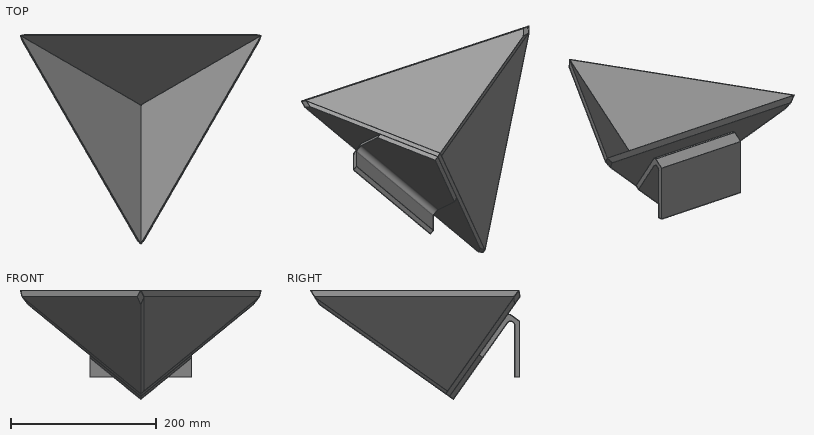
import cadquery as cq
import math

mouth_side = 330.2
plate_thickness = 6.3
leg = mouth_side / math.sqrt(2)
bevel_setback = plate_thickness * math.sqrt(2)
tip_slope = 1.7
tip_cut_size = 66.0

bracket_thickness = 6.5
bracket_width = 139.7
wall_leg_back = 96.0
wall_leg_bottom = 15.5
wall_leg_top = 92.5
bend_crest_y = 83.2
bend_crest_z = 101.7
bend_radius = 5.5

right_edge = cq.Vector(1 / math.sqrt(2), 1 / math.sqrt(6), 1 / math.sqrt(3))
left_edge = cq.Vector(-1 / math.sqrt(2), 1 / math.sqrt(6), 1 / math.sqrt(3))
front_edge = cq.Vector(0, -math.sqrt(2 / 3), 1 / math.sqrt(3))


def plate_outline(reach, first_lap, second_lap):
    """Triangle with the given leg length, widened past its two legs by the laps."""
    points = [(-first_lap, -second_lap)]
    if second_lap > 0:
        points.append((reach, -second_lap))
    points += [(reach, 0), (0, reach)]
    if first_lap > 0:
        points.append((-first_lap, reach))
    return points


def tip_cutter(edge, first_side, second_side):
    """Block beyond the slanted facet at the mouth end of one inner edge."""
    facet_normal = edge - (first_side + second_side) * tip_slope
    facet = cq.Plane(origin=(edge * leg).toTuple(), xDir=first_side - second_side, normal=facet_normal)
    return cq.Workplane(facet).rect(tip_cut_size, tip_cut_size).extrude(tip_cut_size)


def make_plate(first_edge, normal, first_lap, second_lap):
    """Plate with its inner face through the origin and a bevelled rim and facetted tips.

    The second leg runs along normal x first_edge. Each lap covers the end of a neighbouring plate.
    """
    inner_face = cq.Plane(origin=(0, 0, 0), xDir=first_edge, normal=normal)
    plate = (
        cq.Workplane(inner_face)
        .polyline(plate_outline(leg, first_lap, second_lap)).close()
        .workplane(offset=-plate_thickness)
        .polyline(plate_outline(leg - bevel_setback, first_lap, second_lap)).close()
        .loft(ruled=True, combine=True)
    )
    plate = plate.cut(tip_cutter(right_edge, left_edge, front_edge))
    plate = plate.cut(tip_cutter(left_edge, front_edge, right_edge))
    return plate.cut(tip_cutter(front_edge, right_edge, left_edge))


def slope_point(along, outward):
    """(Y, Z) at a distance up the rear plate and a distance behind its inner face."""
    return (
        along / math.sqrt(3) + outward * math.sqrt(2 / 3),
        along * math.sqrt(2 / 3) - outward / math.sqrt(3),
    )


def slope_y_at_z(z, outward):
    """Y of a plane parallel to the rear plate at height z."""
    return z / math.sqrt(2) + outward * math.sqrt(3 / 2)


def slope_z_at_y(y, outward):
    """Z of a plane parallel to the rear plate at depth y."""
    return (y - outward * math.sqrt(3 / 2)) * math.sqrt(2)


def make_bracket():
    """Bent strip on the back of the rear plate, with its foot trimmed to the plate corner."""
    corner_along = -plate_thickness * math.sqrt(2)
    contact = plate_thickness
    back = plate_thickness + bracket_thickness
    wall_leg_front = wall_leg_back - bracket_thickness
    inner_bend = (wall_leg_front, slope_z_at_y(wall_leg_front, back))
    profile = [
        slope_point(corner_along, contact),
        (slope_y_at_z(bend_crest_z, contact), bend_crest_z),
        (bend_crest_y, bend_crest_z),
        (wall_leg_back, wall_leg_top),
        (wall_leg_back, wall_leg_bottom),
        (wall_leg_front, wall_leg_bottom),
        inner_bend,
        slope_point(corner_along, back),
    ]
    strip = cq.Workplane("YZ").polyline(profile).close().extrude(bracket_width / 2, both=True)
    strip = strip.edges(cq.NearestToPointSelector((0, *inner_bend))).fillet(bend_radius)

    corner_plane = cq.Plane(origin=(0, 0, 0), xDir=right_edge, normal=front_edge)
    corner_space = (
        cq.Workplane(corner_plane)
        .moveTo(-plate_thickness, -plate_thickness)
        .rect(mouth_side, mouth_side, centered=False)
        .extrude(mouth_side, both=True)
    )
    return strip.intersect(corner_space)


rear_plate = make_plate(right_edge, front_edge, plate_thickness, plate_thickness)
left_plate = make_plate(left_edge, right_edge, plate_thickness, 0)
right_plate = make_plate(front_edge, left_edge, 0, 0)
bracket = make_bracket()

result = cq.Compound.makeCompound([
    rear_plate.val(),
    left_plate.val(),
    right_plate.val(),
    bracket.val(),
])